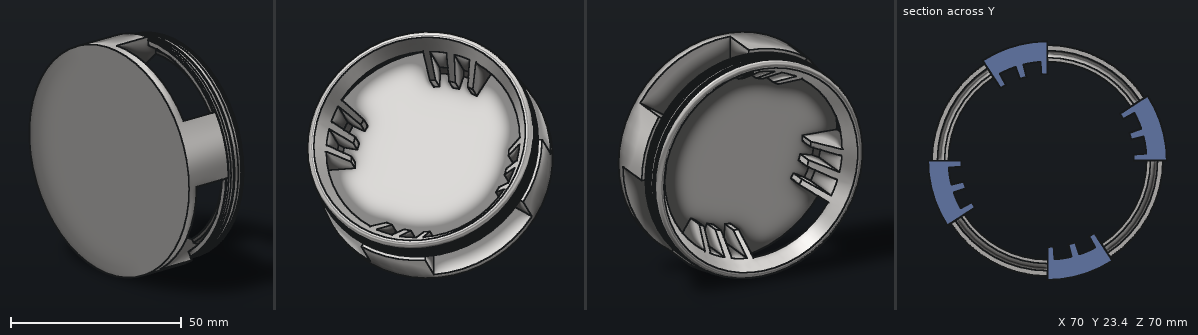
import cadquery as cq
import math

outer_radius = 35.0
bore_radius = 29.0
total_depth = 23.4
base_thickness = 3.0
neck_depth = 15.5

collar_radius = 33.9
collar_edge_radius = 1.5
groove_count = 2
groove_depth = 0.2
groove_pitch = 2.9
groove_width = 1.5
relief_front = 15.8
relief_middle = 16.45
relief_back = 16.65
relief_depth = 0.55

skirt_front = 18.5
rib_radius = 23.6
flare_start = 8.7
flare_slope = (bore_radius - rib_radius) / (skirt_front - flare_start)
flare_angle = math.atan(flare_slope)
flare_back_radius = bore_radius + flare_slope * (total_depth - skirt_front)

window_count = 4
window_pitch = 360 / window_count
pillar_angle = 33.0

slot_outer_radius = 32.3
slot_end_radius = 0.5
skirt_width = 1.2
skirt_radius = bore_radius + skirt_width

rib_gap_angle = 9.9
first_rib_angle = 4.1
middle_rib_angle = 4.8

corner_height = 1.8
corner_width = 1.3


def revolve_profile(points):
    """Turn an outline of (radius, depth) points about the Y axis."""
    return cq.Workplane("XY").polyline(points).close().revolve(360, (0, 0), (0, 1))


def sector(start_angle, end_angle):
    """Wedge around the Y axis; angles run from +X towards +Z."""
    reach = 2 * outer_radius
    corners = [(0, 0)]
    for angle in (start_angle, end_angle):
        turn = math.radians(angle)
        corners.append((reach * math.cos(turn), reach * math.sin(turn)))
    return cq.Workplane("XZ").polyline(corners).close().extrude(-total_depth)


def repeat_around(shape):
    """Fuse copies of a shape, one per window, spaced evenly about the Y axis."""
    copies = shape
    for index in range(1, window_count):
        copies = copies.union(shape.rotate((0, 0, 0), (0, 1, 0), index * window_pitch))
    return copies


def make_shell():
    """Cup with a thin front base, a wall as thick as the ribs and a stepped-in collar."""
    shell = cq.Workplane("XZ").circle(outer_radius).extrude(-neck_depth)
    collar = cq.Workplane("XZ").circle(collar_radius).extrude(-total_depth)
    collar = collar.faces(">Y").edges().fillet(collar_edge_radius)
    cavity = revolve_profile([
        (0, base_thickness),
        (rib_radius, base_thickness),
        (rib_radius, flare_start),
        (flare_back_radius, total_depth),
        (0, total_depth),
    ])
    return shell.union(collar).cut(cavity)


def make_collar_grooves():
    """Shallow grooves with sloping sides, and a V-shaped relief beside the neck."""
    grooves = revolve_profile([
        (collar_radius, relief_front),
        (collar_radius - relief_depth, relief_middle),
        (collar_radius, relief_back),
    ])
    floor_radius = collar_radius - groove_depth
    for index in range(groove_count):
        back = total_depth - collar_edge_radius - index * groove_pitch
        front = back - groove_width
        grooves = grooves.union(revolve_profile([
            (collar_radius, back),
            (floor_radius, back - groove_depth),
            (floor_radius, front + groove_depth),
            (collar_radius, front),
        ]))
    return grooves


def make_windows():
    """Openings whose back ends narrow into a round-ended slot outside the skirt."""
    slot_tip = skirt_front + (slot_outer_radius - skirt_radius) / flare_slope
    tangent_length = slot_end_radius / math.tan(flare_angle / 2)
    arc_radius = slot_outer_radius - slot_end_radius
    arc_depth = slot_tip - tangent_length
    inner_end = (
        slot_outer_radius - tangent_length * math.sin(flare_angle),
        slot_tip - tangent_length * math.cos(flare_angle),
    )
    arc_turn = (math.pi - flare_angle) / 2
    arc_middle = (
        arc_radius + slot_end_radius * math.cos(arc_turn),
        arc_depth + slot_end_radius * math.sin(arc_turn),
    )
    profile = (
        cq.Workplane("XY")
        .moveTo(0, base_thickness)
        .lineTo(outer_radius, base_thickness)
        .lineTo(outer_radius, neck_depth)
        .lineTo(slot_outer_radius, neck_depth)
        .lineTo(slot_outer_radius, arc_depth)
        .threePointArc(arc_middle, inner_end)
        .lineTo(skirt_radius, skirt_front)
        .lineTo(0, skirt_front)
        .close()
    )
    opening = profile.revolve(360, (0, 0), (0, 1))
    return repeat_around(opening.intersect(sector(pillar_angle, window_pitch)))


def make_rib_gaps():
    """Two gaps per pillar that thin the wall to the bore radius and leave three ribs."""
    ring = revolve_profile([
        (0, base_thickness),
        (bore_radius - corner_width, base_thickness),
        (bore_radius, base_thickness + corner_height),
        (bore_radius, skirt_front),
        (0, skirt_front),
    ])
    second_gap_start = first_rib_angle + rib_gap_angle + middle_rib_angle
    gaps = ring.intersect(sector(first_rib_angle, first_rib_angle + rib_gap_angle))
    gaps = gaps.union(ring.intersect(sector(second_gap_start, second_gap_start + rib_gap_angle)))
    return repeat_around(gaps)


body = make_shell().cut(make_collar_grooves()).cut(make_windows()).cut(make_rib_gaps())
result = body.solids()